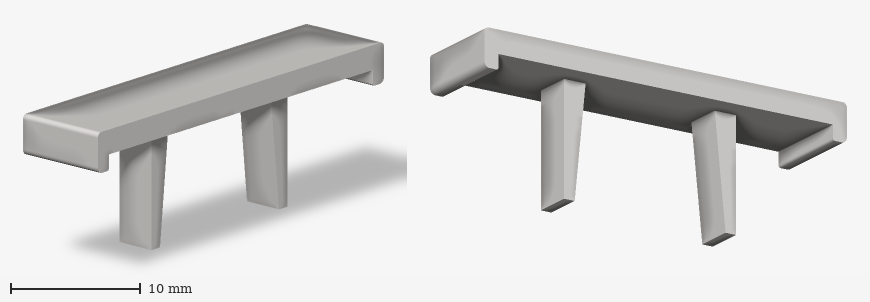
import cadquery as cq

length = 33.3
width = 7.7
height = 11.75

plate_thickness = 2.0
lip_height = 3.3
lip_thickness = 1.3
top_edge_radius = 0.4
lip_outer_radius = 0.5
lip_inner_radius = 0.2

leg_width = 3.3
leg_outer_y = 7.9
leg_root_thickness = 1.95
leg_tip_thickness = 0.95

half_length = length / 2
lip_inner_y = half_length - lip_thickness


def make_cover():
    """Plate and end lips, resting with the top face at Z = 0."""
    outline = [
        (-half_length, 0),
        (half_length, 0),
        (half_length, -lip_height),
        (lip_inner_y, -lip_height),
        (lip_inner_y, -plate_thickness),
        (-lip_inner_y, -plate_thickness),
        (-lip_inner_y, -lip_height),
        (-half_length, -lip_height),
    ]
    cover = cq.Workplane("YZ").polyline(outline).close().extrude(width / 2, both=True)
    cover = cover.faces(">Z").edges("|X").fillet(top_edge_radius)
    for end in (-1, 1):
        for y, radius in ((half_length, lip_outer_radius), (lip_inner_y, lip_inner_radius)):
            corner = cq.selectors.NearestToPointSelector((0, end * y, -lip_height))
            cover = cover.edges(corner).fillet(radius)
    return cover


def make_leg(side):
    """Leg on the given Y side, narrowing towards its tip."""
    outline = [
        (side * leg_outer_y, -plate_thickness),
        (side * leg_outer_y, -height),
        (side * (leg_outer_y - leg_tip_thickness), -height),
        (side * (leg_outer_y - leg_root_thickness), -plate_thickness),
    ]
    return cq.Workplane("YZ").polyline(outline).close().extrude(leg_width / 2, both=True)


result = make_cover().union(make_leg(-1)).union(make_leg(1))